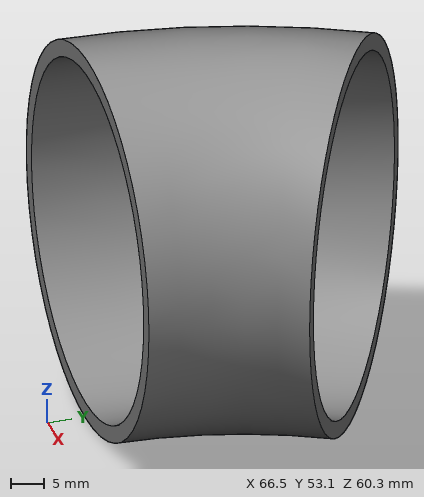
import cadquery as cq
import math

overall_length = 66.45
bend_radius = 76.0
bend_angle = 30
wall = 2.6

bend_cosine = math.cos(math.radians(bend_angle))
outer_radius = (overall_length - bend_radius * (1 - bend_cosine)) / (1 + bend_cosine)
inner_radius = outer_radius - wall

inlet_ring = cq.Workplane("XZ").circle(outer_radius).circle(inner_radius)

bend_axis_start = (bend_radius, 0.65)
bend_axis_end = (bend_radius, 0)
result = inlet_ring.revolve(bend_angle, bend_axis_start, bend_axis_end)